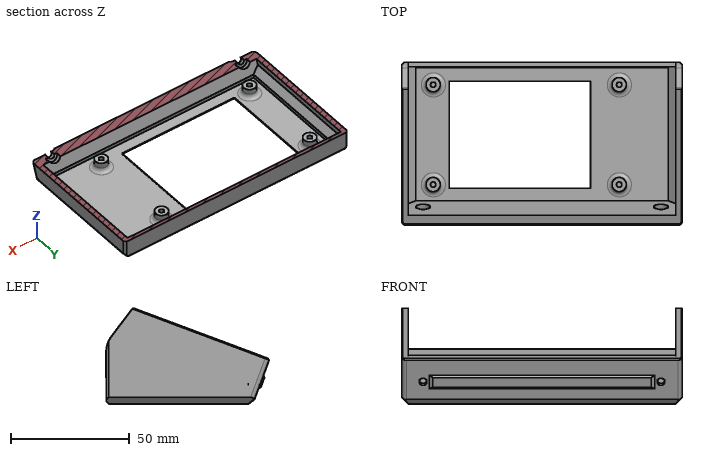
import cadquery as cq
import math

width = 118.0
depth = 68.7
height = 40.5
tilt = 20.5
tilt_sin = math.sin(math.radians(tilt))
tilt_cos = math.cos(math.radians(tilt))
tilt_tan = tilt_sin / tilt_cos

lip_z = 18.4
lip_blunt = 0.6
peak_blunt = 1.0
rear_bottom_y = 68.5
rear_bevel = 1.3
rear_corner_z = 25.5
rear_corner_radius = 11.8
peak_y = 57.1
front_bevel_z = 2.0
front_bevel_run = 2.7

side_wall = 2.8
front_wall = 4.7
rear_wall = 2.0
rear_wall_top = 23.2
floor = 2.6
ledge_z = 4.4
ledge_width = 3.1
rear_ledge = 0.5
side_bevel = 3.0
front_corner_radius = 2.0
rear_corner_bevel = 1.2
top_edge_bevel = 0.5

window_left = -38.9
window_right = 20.3
window_front = 15.6
window_rear = 60.5
window_land = 0.5

boss_columns = (-45.8, 32.5)
boss_rows = (17.1, 59.1)
boss_diameter = 6.0
boss_bore = 2.2
boss_height = 4.5
boss_fillet = 2.06

panel_z = 9.4
screw_x = 50.0
screw_diameter = 3.2
screw_head_diameter = 6.0
screw_land = 2.4
bar_length = 94.6
bar_height = 6.0
bar_rise = 0.7
bar_end_inset = 1.3
bar_edge_inset = 0.8


def extrude_across(outline, span):
    """Extrude a YZ outline symmetrically about X = 0."""
    return outline.extrude(span / 2, both=True)


def front_face_y(z):
    return (lip_z - z) * tilt_tan


def make_body():
    front_foot_y = front_face_y(front_bevel_z)
    outline = (
        cq.Workplane("YZ")
        .moveTo(front_foot_y + front_bevel_run, 0)
        .lineTo(rear_bottom_y - rear_bevel, 0)
        .lineTo(rear_bottom_y, rear_bevel)
        .lineTo(depth, rear_corner_z)
        .lineTo(peak_y + peak_blunt, height - peak_blunt)
        .lineTo(peak_y, height)
        .lineTo(lip_blunt, height - (peak_y - lip_blunt) * tilt_tan)
        .lineTo(0, lip_z)
        .lineTo(front_foot_y, front_bevel_z)
        .close()
    )
    body = extrude_across(outline, width)
    body = body.edges(">Y").fillet(rear_corner_radius)
    return trim_sides(body)


def trim_sides(body):
    """Bevel the long lower side edges and the rear corners, round the front corners."""
    half = width / 2
    section = (
        cq.Workplane("XZ")
        .polyline([
            (-half + side_bevel, 0),
            (half - side_bevel, 0),
            (half, side_bevel),
            (half, height),
            (-half, height),
            (-half, side_bevel),
        ])
        .close()
        .extrude(-depth)
    )
    rear_plan = (
        cq.Workplane("XY")
        .rect(width, 2 * depth)
        .extrude(height)
        .edges("|Z and >Y")
        .chamfer(rear_corner_bevel)
    )
    leaning = (
        front_plane(0)
        .rect(width, 4 * height)
        .extrude(-2 * depth)
        .edges(cq.selectors.ParallelDirSelector(cq.Vector(0, -tilt_sin, tilt_cos)))
        .filter(lambda edge: edge.Center().y < depth / 2)
        .fillet(front_corner_radius)
    )
    return body.intersect(section).intersect(rear_plan).intersect(leaning)


def front_plane(x):
    """Workplane on the leaning front face at panel height, facing outward."""
    return cq.Workplane(cq.Plane(
        origin=(x, front_face_y(panel_z), panel_z),
        xDir=(1, 0, 0),
        normal=(0, -tilt_cos, -tilt_sin),
    ))


def cavity_outline(bottom):
    """Inner YZ outline from the given height upward, open at the top and the rear gap."""
    shift = front_wall / tilt_cos
    above = height + 1.2
    rear_inner = depth - rear_wall
    return (
        cq.Workplane("YZ")
        .moveTo(front_face_y(bottom) + shift, bottom)
        .lineTo(rear_inner, bottom)
        .lineTo(rear_inner, rear_wall_top)
        .lineTo(depth + 1.2, rear_wall_top)
        .lineTo(depth + 1.2, above)
        .lineTo(front_face_y(above) + shift, above)
        .close()
    )


def make_cavity():
    half = width / 2 - side_wall
    foot = half - ledge_width
    sloped = (
        cq.Workplane("XZ")
        .polyline([
            (-foot, ledge_z),
            (foot, ledge_z),
            (half, ledge_z + ledge_width),
            (half, height + 1.2),
            (-half, height + 1.2),
            (-half, ledge_z + ledge_width),
        ])
        .close()
        .extrude(-depth - 1.2)
    )
    upper = extrude_across(cavity_outline(ledge_z), width).intersect(sloped)
    recess_front = front_face_y(ledge_z) + front_wall / tilt_cos
    recess = cq.Workplane("XY").box(
        2 * foot, depth - rear_wall - rear_ledge - recess_front, ledge_z - floor, centered=(True, False, False)
    ).translate((0, recess_front, floor))
    return upper.union(recess)


def make_window():
    """Opening through the floor that widens toward the underside."""
    length = window_right - window_left
    breadth = window_rear - window_front
    flare = floor - window_land
    centre = ((window_left + window_right) / 2, (window_front + window_rear) / 2, 0)
    flared = (
        cq.Workplane("XY", origin=centre)
        .rect(length + 2 * flare, breadth + 2 * flare)
        .workplane(offset=flare)
        .rect(length, breadth)
        .loft(combine=True)
    )
    rim = cq.Workplane("XY", origin=centre).rect(length, breadth).extrude(floor)
    return flared.union(rim)


def make_boss(x, y):
    """Hollow post with a concave flare at its foot."""
    bore = boss_bore / 2
    outer = boss_diameter / 2
    flare = outer + boss_fillet
    bend = boss_fillet * (1 - math.sqrt(0.5))
    return (
        cq.Workplane("XZ")
        .moveTo(bore, 0)
        .lineTo(flare, 0)
        .threePointArc((outer + bend, bend), (outer, boss_fillet))
        .lineTo(outer, boss_height)
        .lineTo(bore, boss_height)
        .close()
        .revolve(360, (0, 0), (0, 1))
        .translate((x, y, floor))
    )


def make_bar():
    return (
        front_plane(0)
        .rect(bar_length, bar_height)
        .workplane(offset=bar_rise)
        .rect(bar_length - 2 * bar_end_inset, bar_height - 2 * bar_edge_inset)
        .loft(combine=True)
    )


def make_screw_hole(x):
    hole = front_plane(x).circle(screw_diameter / 2).extrude(-2 * front_wall)
    head = (
        front_plane(x)
        .workplane(offset=-screw_land)
        .circle(screw_head_diameter / 2)
        .extrude(-front_wall)
    )
    return hole.union(head)


def bevel_top_edges(body):
    """Bevel the outer top edges of the two side walls."""
    tolerance = 0.01

    def is_outer_top(edge):
        along = edge.tangentAt(0.5)
        leans = abs(abs(along.z) - tilt_sin) < tolerance and abs(along.x) < tolerance
        return leans and edge.Length() > depth / 2 and abs(edge.Center().x) > width / 2.4 - tolerance

    return body.edges().filter(is_outer_top).chamfer(top_edge_bevel)


result = bevel_top_edges(make_body()).cut(make_cavity()).cut(make_window())
for column in boss_columns:
    for row in boss_rows:
        result = result.union(make_boss(column, row))
result = result.union(make_bar())
for side in (-1, 1):
    result = result.cut(make_screw_hole(side * screw_x))